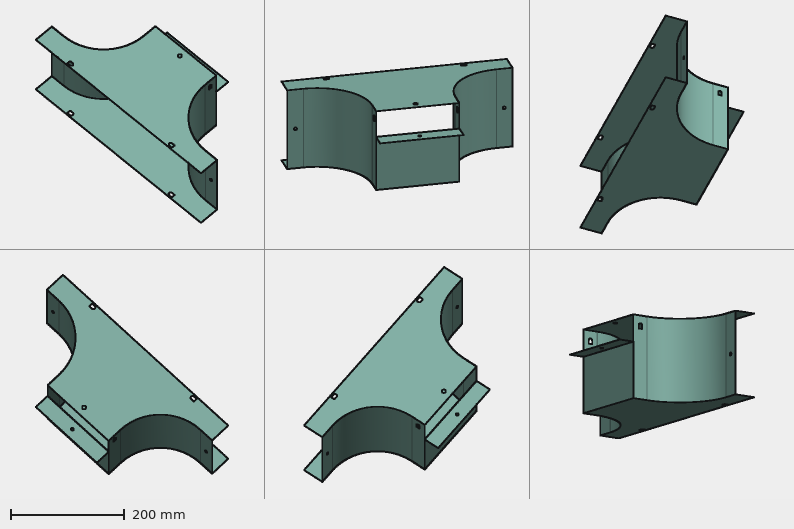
import cadquery as cq
import math

length = 408.0
height = 151.0
thickness = 0.5
neck_width = 151.0
arm_depth = 40.5
bend_radius = 99.0
plate_depth = 168.5
overall_depth = 198.0
flap_top = 102.0

half_length = length / 2
half_neck = neck_width / 2
bend_start_x = half_neck + bend_radius
bend_end_y = arm_depth + bend_radius
mid_height = height / 2

screw_diameter = 5.0
plate_hole_diameter = 7.0
edge_to_screw = 15.0
edge_to_neck_hole = 15.0
slot_width = 7.0
slot_length = 9.8
plate_slot_outer_x = 129.0
plate_slot_y = 6.5
wall_slot_top_drop = 14.3


def box(x_min, x_max, y_min, y_max, z_min, z_max):
    size = (x_max - x_min, y_max - y_min, z_max - z_min)
    return cq.Workplane("XY").box(*size, centered=False).translate((x_min, y_min, z_min))


def tee_plate():
    """Flat tee with concave quarter-round corners between arms and neck."""
    diagonal = bend_radius * math.sqrt(0.5)
    arc_mid_x = bend_start_x - diagonal
    arc_mid_y = bend_end_y - diagonal
    return (
        cq.Workplane("XY")
        .moveTo(-half_length, 0)
        .lineTo(half_length, 0)
        .lineTo(half_length, arm_depth)
        .lineTo(bend_start_x, arm_depth)
        .threePointArc((arc_mid_x, arc_mid_y), (half_neck, bend_end_y))
        .lineTo(half_neck, plate_depth)
        .lineTo(-half_neck, plate_depth)
        .lineTo(-half_neck, bend_end_y)
        .threePointArc((-arc_mid_x, arc_mid_y), (-bend_start_x, arm_depth))
        .lineTo(-half_length, arm_depth)
        .close()
        .extrude(thickness)
    )


def curved_wall():
    """Right-hand wall between the plates: arm flange, quarter bend and neck flange."""
    inner_radius = bend_radius + thickness
    outer_diagonal = bend_radius * math.sqrt(0.5)
    inner_diagonal = inner_radius * math.sqrt(0.5)
    return (
        cq.Workplane("XY", origin=(0, 0, thickness))
        .moveTo(half_length, arm_depth)
        .lineTo(bend_start_x, arm_depth)
        .threePointArc(
            (bend_start_x - outer_diagonal, bend_end_y - outer_diagonal),
            (half_neck, bend_end_y),
        )
        .lineTo(half_neck, plate_depth)
        .lineTo(half_neck - thickness, plate_depth)
        .lineTo(half_neck - thickness, bend_end_y)
        .threePointArc(
            (bend_start_x - inner_diagonal, bend_end_y - inner_diagonal),
            (bend_start_x, arm_depth - thickness),
        )
        .lineTo(half_length, arm_depth - thickness)
        .close()
        .extrude(height - 2 * thickness)
    )


def end_panel():
    """Panel closing the lower neck, with a flap turned outward along its top."""
    panel = box(-half_neck, half_neck, plate_depth - thickness, plate_depth, 0, flap_top)
    flap = box(
        -half_neck, half_neck,
        plate_depth - thickness, overall_depth,
        flap_top - thickness, flap_top,
    )
    return panel.union(flap)


def slot_profile(plane):
    """Slot with a flat end at the origin and a round end toward local +X."""
    radius = slot_width / 2
    straight = slot_length - radius
    return (
        plane
        .moveTo(0, -radius)
        .lineTo(straight, -radius)
        .threePointArc((slot_length, 0), (straight, radius))
        .lineTo(0, radius)
        .close()
    )


def plate_slot():
    """Left-hand slot through both plates, rounded toward the centre."""
    start = (-plate_slot_outer_x, plate_slot_y, 0)
    return slot_profile(cq.Workplane("XY", origin=start)).extrude(height)


def neck_wall_slot():
    """Slot through both neck flanges, rounded at the top."""
    slot_bottom = height - wall_slot_top_drop - slot_length
    plane = cq.Plane(
        origin=(-half_neck, plate_depth - edge_to_neck_hole, slot_bottom),
        xDir=(0, 0, 1),
        normal=(1, 0, 0),
    )
    return slot_profile(cq.Workplane(plane)).extrude(neck_width)


def arm_screw_holes():
    return (
        cq.Workplane("XZ", origin=(0, arm_depth, mid_height))
        .pushPoints([(side * (half_length - edge_to_screw), 0) for side in (-1, 1)])
        .circle(screw_diameter / 2)
        .extrude(thickness)
    )


def flap_screw_hole():
    return (
        cq.Workplane("XY", origin=(0, overall_depth - edge_to_screw, flap_top - thickness))
        .circle(screw_diameter / 2)
        .extrude(thickness)
    )


def top_plate_hole():
    return (
        cq.Workplane("XY", origin=(0, plate_depth - edge_to_neck_hole, height - thickness))
        .circle(plate_hole_diameter / 2)
        .extrude(thickness)
    )


right_wall = curved_wall()
body = tee_plate().union(tee_plate().translate((0, 0, height - thickness)))
body = body.union(right_wall).union(right_wall.mirror("YZ")).union(end_panel())

left_slot = plate_slot()
cutters = [
    left_slot,
    left_slot.mirror("YZ"),
    neck_wall_slot(),
    arm_screw_holes(),
    flap_screw_hole(),
    top_plate_hole(),
]
for cutter in cutters:
    body = body.cut(cutter)

result = body